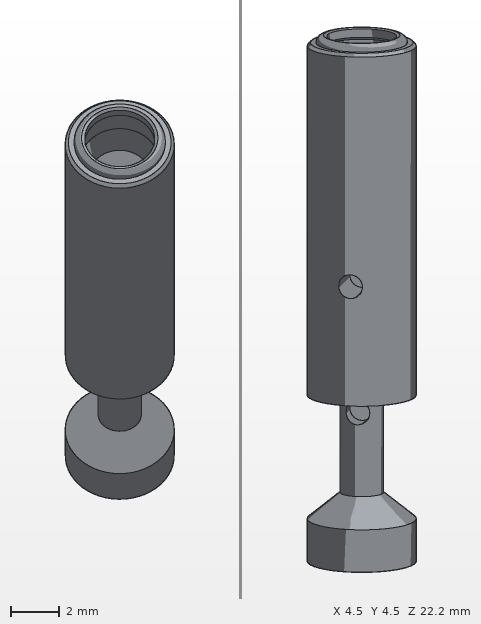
import cadquery as cq
import math

total_height = 22.2
outer_radius = 4.5 / 2

foot_height = 1.8
foot_cone_top = 2.9
stem_radius = 0.9
body_bottom = 7.02

rim_height = 0.3
body_top = total_height - rim_height
body_chamfer = 0.13
rim_outer_radius = 1.89
rim_crest_radius = rim_outer_radius - rim_height

lip_chamfer = 0.05
lip_radius = 1.45
lip_depth = 0.4
chamber_radius = 1.58
chamber_start_depth = 0.5
chamber_depth = 1.5
floor_radius = 1.22
funnel_slope_angle = 71.0
funnel_depth = (chamber_radius - floor_radius) * math.tan(math.radians(funnel_slope_angle))
floor_start_depth = chamber_depth + funnel_depth
floor_point_angle = 118.0
floor_point_depth = floor_radius / math.tan(math.radians(floor_point_angle / 2))

cross_hole_diameter = 1.0
body_hole_height = 12.05
stem_hole_height = 6.44


def make_turned_body():
    """Revolve the half section, with radius along X and height along Z."""
    round_offset = rim_height * math.sqrt(0.5)
    profile = (
        cq.Workplane("XZ")
        .lineTo(outer_radius, 0)
        .lineTo(outer_radius, foot_height)
        .lineTo(stem_radius, foot_cone_top)
        .lineTo(stem_radius, body_bottom)
        .lineTo(outer_radius, body_bottom)
        .lineTo(outer_radius, body_top - body_chamfer)
        .lineTo(outer_radius - body_chamfer, body_top)
        .lineTo(rim_outer_radius, body_top)
        .threePointArc(
            (rim_crest_radius + round_offset, body_top + round_offset),
            (rim_crest_radius, total_height),
        )
        .lineTo(lip_radius, total_height - lip_chamfer)
        .lineTo(lip_radius, total_height - lip_depth)
        .lineTo(chamber_radius, total_height - chamber_start_depth)
        .lineTo(chamber_radius, total_height - chamber_depth)
        .lineTo(floor_radius, total_height - floor_start_depth)
        .lineTo(0, total_height - floor_start_depth - floor_point_depth)
        .close()
    )
    return profile.revolve(360, (0, 0, 0), (0, 1, 0))


def make_cross_hole(height):
    """Cylinder from the axis out past the +Y side at the given height."""
    return (
        cq.Workplane("XZ", origin=(0, 0, height))
        .circle(cross_hole_diameter / 2)
        .extrude(-2 * outer_radius)
    )


result = make_turned_body()
for hole_height in (body_hole_height, stem_hole_height):
    result = result.cut(make_cross_hole(hole_height))